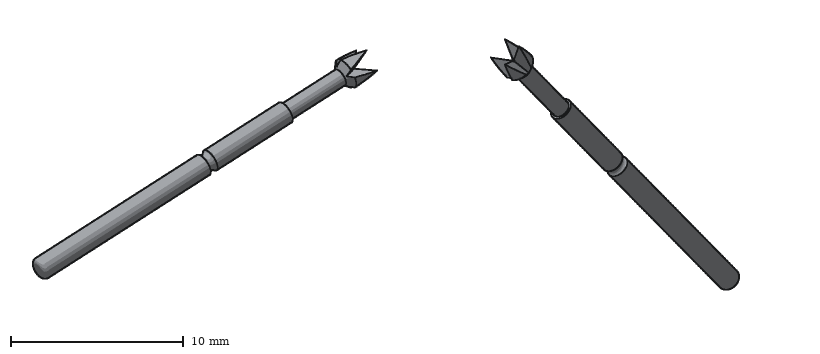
import cadquery as cq
import math

LENGTH = 24.6

BARREL_RADIUS = 0.7
BARREL_LENGTH = 18.5
TAIL_FILLET = 0.3
GROOVE_CENTRE = 12.62
GROOVE_WIDTH = 0.52
GROOVE_DEPTH = 0.15

PLUNGER_RADIUS = 0.55

TOOTH_COUNT = 4
CROWN_RADIUS = 0.95
TOOTH_WIDTH = 0.95
TOOTH_HEIGHT = 1.57
TOOTH_BASE = LENGTH - TOOTH_HEIGHT
CONE_HEIGHT = CROWN_RADIUS - PLUNGER_RADIUS
CROWN_BASE = TOOTH_BASE - CONE_HEIGHT
RIDGE_START = LENGTH - CROWN_RADIUS
RIM_CORNER_OFFSET = math.sqrt(CROWN_RADIUS**2 - (TOOTH_WIDTH / 2) ** 2)
FLANK_SLOPE = (RIDGE_START + RIM_CORNER_OFFSET - TOOTH_BASE) / (TOOTH_WIDTH / 2)


def revolve(profile):
    """Turn a closed (radius, y) profile about the pin axis."""
    return profile.close().revolve(360, (0, 0, 0), (0, 1, 0))


def make_barrel():
    """Barrel with a rounded tail and a round-bottomed crimp groove."""
    profile = (
        cq.Workplane("XY")
        .lineTo(BARREL_RADIUS, 0)
        .lineTo(BARREL_RADIUS, GROOVE_CENTRE - GROOVE_WIDTH / 2)
        .threePointArc(
            (BARREL_RADIUS - GROOVE_DEPTH, GROOVE_CENTRE),
            (BARREL_RADIUS, GROOVE_CENTRE + GROOVE_WIDTH / 2),
        )
        .lineTo(BARREL_RADIUS, BARREL_LENGTH)
        .lineTo(0, BARREL_LENGTH)
    )
    return revolve(profile).faces("<Y").edges().fillet(TAIL_FILLET)


def make_plunger():
    """Round rod from the barrel to the crown."""
    profile = (
        cq.Workplane("XY")
        .moveTo(0, BARREL_LENGTH)
        .lineTo(PLUNGER_RADIUS, BARREL_LENGTH)
        .lineTo(PLUNGER_RADIUS, CROWN_BASE)
        .lineTo(0, CROWN_BASE)
    )
    return revolve(profile)


def make_tooth():
    """Wedge along +Z whose two flat flanks meet in a ridge rising outwards at 45 degrees."""
    inner_half_width = (RIDGE_START - CROWN_BASE) / FLANK_SLOPE
    outer_half_width = (LENGTH - CROWN_BASE) / FLANK_SLOPE
    return (
        cq.Workplane("XY")
        .polyline([(-inner_half_width, CROWN_BASE), (inner_half_width, CROWN_BASE), (0, RIDGE_START)])
        .close()
        .workplane(offset=CROWN_RADIUS)
        .polyline([(-outer_half_width, CROWN_BASE), (outer_half_width, CROWN_BASE), (0, LENGTH)])
        .close()
        .loft(ruled=True)
    )


def make_crown():
    """Four pointed teeth around the axis, trimmed to a turned blank with a conical underside."""
    blank = revolve(
        cq.Workplane("XY")
        .moveTo(0, CROWN_BASE)
        .lineTo(PLUNGER_RADIUS, CROWN_BASE)
        .lineTo(CROWN_RADIUS, TOOTH_BASE)
        .lineTo(CROWN_RADIUS, LENGTH)
        .lineTo(0, LENGTH)
    )
    tooth = make_tooth()
    teeth = tooth
    for index in range(1, TOOTH_COUNT):
        teeth = teeth.union(tooth.rotate((0, 0, 0), (0, 1, 0), index * 360 / TOOTH_COUNT))
    return blank.intersect(teeth)


result = make_barrel().union(make_plunger()).union(make_crown())